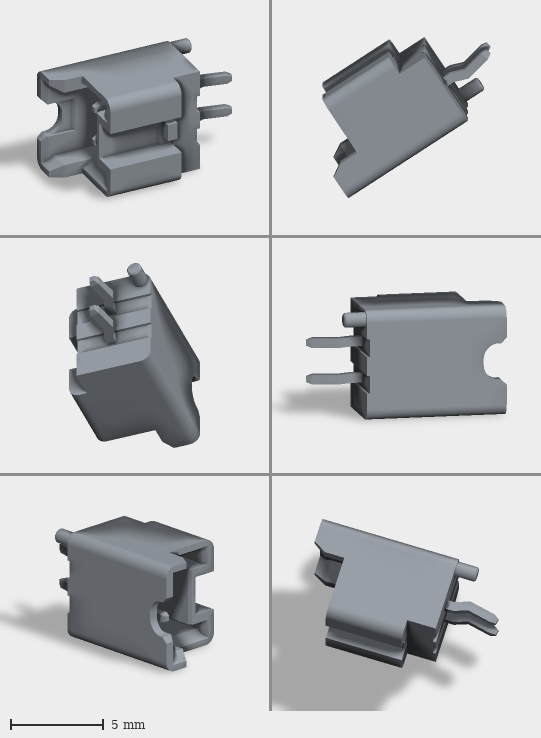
import cadquery as cq
import math


width = 5.3
height = 6.0
body_length = 7.7
corner_radius = 0.6
half_height = height / 2

shoulder_y = 1.8
leg_right = 1.91
leg_tip_right = 1.49
leg_slope_length = 0.71

rear_step_y = 6.09
rear_right = 4.27

pocket_floor = 5.5
left_wall = 0.68
right_wall = 0.6
top_wall = 0.77
side_lead = 0.2
side_lead_length = 0.36
top_lead = 0.41
top_lead_length = 0.71

channel_left = 3.93
channel_inset = 0.12
channel_inset_length = 0.2
channel_half_height = 1.09
web_left = 3.55
web_lead = 0.12
web_lead_length = 0.2
web_half_height = 1.58

tab_length = 0.59
tab_right = 4.81
tab_half_height = 0.5
tab_root_half_height = 0.59
tab_front = rear_step_y - tab_length

notch_half_height = 1.0
notch_depth = 1.27
notch_radius = 0.85
notch_chamfer = 0.3
relief_wall = 0.51
relief_slope_length = 0.2

recess_depth = 0.16
recess_height = 1.0

pin_size = 0.5
pin_tip_size = 0.3
pin_tip_length = 0.3
pin_pitch = 2.0
pin_x = 2.26
pin_front = 2.28
pin_first_bend_y = 8.12
pin_second_bend_y = 8.89
pin_bend_offset = 0.28
pin_tail_angle = 12.0
pin_end_y = 10.59

peg_diameter = 0.8
peg_length = 1.2
peg_chamfer = 0.08
peg_x = 0.55
peg_z = half_height - 0.51


def plan_prism(points, half_depth):
    """Extrude an XY outline symmetrically about Z = 0."""
    return cq.Workplane("XY").polyline(points).close().extrude(half_depth, both=True)


def section_prism(points, x_start, x_end):
    """Extrude a YZ outline from x_start to x_end."""
    outline = cq.Workplane("YZ", origin=(x_start, 0, 0)).polyline(points).close()
    return outline.extrude(x_end - x_start)


def make_block():
    """Rounded bar with the front shoulder and the rear step cut away."""
    block = (
        cq.Workplane("XY")
        .box(width, body_length, height, centered=(False, False, True))
        .edges("|Y")
        .fillet(corner_radius)
    )
    front_cut = plan_prism(
        [
            (leg_tip_right, 0),
            (leg_right, leg_slope_length),
            (leg_right, shoulder_y),
            (width, shoulder_y),
            (width, 0),
        ],
        half_height,
    )
    rear_cut = plan_prism(
        [
            (rear_right, rear_step_y),
            (width, rear_step_y),
            (width, body_length),
            (rear_right, body_length),
        ],
        half_height,
    )
    return block.cut(front_cut).cut(rear_cut)


def cavity_section(mouth_y, x_start, x_end):
    """Cavity height over a range of X, flaring towards a mouth at mouth_y."""
    inner = half_height - top_wall
    mouth = inner + top_lead
    lead_end = mouth_y + top_lead_length
    upper = [(mouth_y, mouth), (lead_end, inner), (pocket_floor, inner)]
    lower = [(y, -z) for y, z in reversed(upper)]
    return section_prism(upper + lower, x_start, x_end)


def make_cavity():
    """Open pocket around the pins, leaving the channel web standing."""
    right = width - right_wall
    plan = plan_prism(
        [
            (left_wall - side_lead, 0),
            (left_wall, side_lead_length),
            (left_wall, pocket_floor),
            (right, pocket_floor),
            (right, shoulder_y + side_lead_length),
            (right + side_lead, shoulder_y),
            (right + side_lead, 0),
        ],
        half_height,
    )
    legs = cavity_section(0, 0, leg_right)
    shoulder = cavity_section(shoulder_y, leg_right, width)
    web = plan_prism(
        [
            (web_left + web_lead, shoulder_y),
            (web_left, shoulder_y + web_lead_length),
            (web_left, pocket_floor),
            (width, pocket_floor),
            (width, shoulder_y),
        ],
        web_half_height,
    )
    return plan.intersect(legs.union(shoulder)).cut(web)


def make_channel():
    """Guide channel, a little shallower beside the locking tab."""
    return plan_prism(
        [
            (channel_left, shoulder_y),
            (channel_left, tab_front - channel_inset_length),
            (channel_left + channel_inset, tab_front),
            (channel_left + channel_inset, rear_step_y),
            (width, rear_step_y),
            (width, shoulder_y),
        ],
        channel_half_height,
    )


def make_tab():
    """Locking tab with a root that widens towards the rear."""
    tab_left = channel_left + channel_inset
    tab = plan_prism(
        [
            (tab_left, tab_front),
            (tab_right, tab_front),
            (tab_right, rear_step_y),
            (tab_left, rear_step_y),
        ],
        tab_half_height,
    )
    root = section_prism(
        [
            (tab_front, -tab_half_height),
            (rear_step_y, -tab_root_half_height),
            (rear_step_y, tab_root_half_height),
            (tab_front, tab_half_height),
        ],
        tab_left,
        rear_right,
    )
    return tab.union(root)


def make_notch():
    """Round-cornered notch through the left wall with a chamfered mouth."""
    mouth = notch_half_height + notch_chamfer
    arc_start = notch_depth - notch_radius
    arc_end = notch_half_height - notch_radius
    diagonal = notch_radius * math.sqrt(0.5)
    arc_middle_y = arc_start + diagonal
    arc_middle_z = arc_end + diagonal
    return (
        cq.Workplane("YZ")
        .moveTo(0, -mouth)
        .lineTo(notch_chamfer, -notch_half_height)
        .lineTo(arc_start, -notch_half_height)
        .threePointArc((arc_middle_y, -arc_middle_z), (notch_depth, -arc_end))
        .lineTo(notch_depth, arc_end)
        .threePointArc((arc_middle_y, arc_middle_z), (arc_start, notch_half_height))
        .lineTo(notch_chamfer, notch_half_height)
        .lineTo(0, mouth)
        .close()
        .extrude(left_wall)
    )


def make_relief():
    """Shallow relief on the inside of the left wall, ending in a slope."""
    return plan_prism(
        [
            (relief_wall, 0),
            (relief_wall, shoulder_y),
            (left_wall, shoulder_y + relief_slope_length),
            (left_wall, 0),
        ],
        notch_half_height,
    )


def make_recess(z):
    """Groove across the rear face at one pin."""
    groove = cq.Workplane("XY", origin=(0, body_length - recess_depth, z))
    return groove.box(width, recess_depth, recess_height, centered=(False, False, True))


def make_pin_tip(x, y, z, angle):
    """Square taper starting at a point and leaning from +Y towards +X by an angle."""
    lean = math.radians(angle)
    direction = (math.sin(lean), math.cos(lean), 0)
    return (
        cq.Workplane(cq.Plane(origin=(x, y, z), xDir=(0, 0, 1), normal=direction))
        .rect(pin_size, pin_size)
        .workplane(offset=pin_tip_length)
        .rect(pin_tip_size, pin_tip_size)
        .loft()
    )


def make_pin(z):
    """Square pin with a cranked tail and both ends tapered."""
    lean = math.radians(pin_tail_angle)
    shaft_start = pin_front + pin_tip_length
    tail_y = pin_end_y - pin_tip_length * math.cos(lean) - pin_tip_size / 2 * math.sin(lean)
    bend_x = pin_x - pin_bend_offset
    tail_x = bend_x + (tail_y - pin_second_bend_y) * math.tan(lean)
    path = cq.Workplane("XY", origin=(0, 0, z)).polyline(
        [
            (pin_x, shaft_start),
            (pin_x, pin_first_bend_y),
            (bend_x, pin_second_bend_y),
            (tail_x, tail_y),
        ]
    )
    shaft = (
        cq.Workplane("XZ", origin=(pin_x, shaft_start, z))
        .rect(pin_size, pin_size)
        .sweep(path, transition="right")
    )
    front_tip = make_pin_tip(pin_x, shaft_start, z, 180)
    tail_tip = make_pin_tip(tail_x, tail_y, z, pin_tail_angle)
    return shaft.union(front_tip).union(tail_tip)


def make_peg():
    """Round locating peg with a chamfered end."""
    return (
        cq.Workplane("XZ", origin=(peg_x, body_length, peg_z))
        .circle(peg_diameter / 2)
        .extrude(-peg_length)
        .faces(">Y")
        .chamfer(peg_chamfer)
    )


housing = make_block().cut(make_cavity()).cut(make_channel()).cut(make_notch()).cut(make_relief())
result = housing.union(make_tab()).union(make_peg())
pin_heights = (-pin_pitch / 2, pin_pitch / 2)
for pin_z in pin_heights:
    result = result.cut(make_recess(pin_z))
for pin_z in pin_heights:
    result = result.union(make_pin(pin_z))